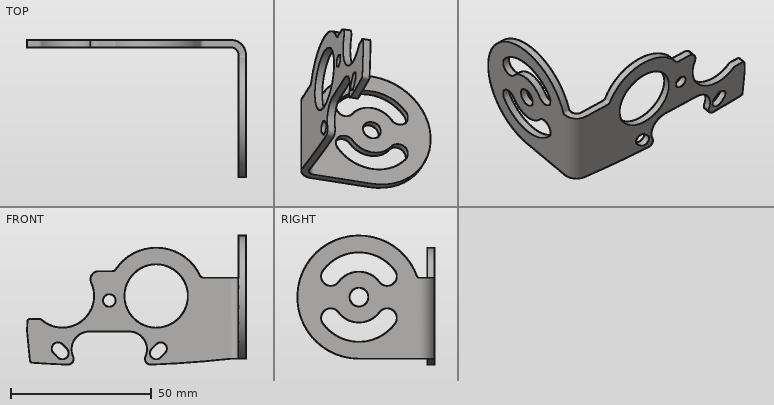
import cadquery as cq
import math


thickness = 2.75
bend_inner_radius = 2.65
bend_outer_radius = bend_inner_radius + thickness
flange_face_x = 32.05
bend_start_x = flange_face_x - bend_outer_radius
bend_top_z = 6.5

total_depth = 49.0
flange_radius = 22.0
flange_center_y = flange_radius - total_depth
flange_center_z = -0.4
bend_bottom_z = flange_center_z - flange_radius
flange_hole_diameter = 6.6
curved_slot_radius = 12.5
curved_slot_width = 6.8
curved_slot_half_angle = 53.5
flange_neck_fillet = 0.85

bore_radius = 11.25
bore_rim_radius = 17.25
mid_x = -16.7
notch_x = 2 * mid_x

tab_top_z = 8.9
ear_top_z = -8.15
ear_top_x = -45.85
ear_knee_x = -46.08
ear_knee_z = -12.2
ear_bottom_x = -44.95
bottom_low_z = -24.78
bottom_arc_radius = ((bend_start_x - mid_x) ** 2 / (bend_bottom_z - bottom_low_z)
                     + (bend_bottom_z - bottom_low_z)) / 2

recess_top_z = -12.7
recess_corner_radius = 6.3
recess_half_width = 13.4
recess_center_z = recess_top_z - recess_corner_radius
recess_center_offset = recess_half_width - recess_corner_radius

small_hole_diameter = 4.4
small_hole_z = -1.6
slot_width = 4.4
slot_length = 6.6
slot_tilt = 45.0
slot_offset = 17.5
slot_z = -19.55

tab_fillet = 3.0
rim_neck_fillet = 1.5
ear_notch_fillet = 1.3
ear_top_fillet = 1.0
ear_knee_fillet = 5.0
ear_bottom_fillet = 1.0
foot_fillet = 2.1


def half_chord(radius, distance):
    """Half length of a circle's chord at the given distance from its centre."""
    return math.sqrt(radius ** 2 - distance ** 2)


def bottom_arc_z(x):
    """Height of the shallow arc along the bottom edge of the plate."""
    return bottom_low_z + bottom_arc_radius - half_chord(bottom_arc_radius, x - mid_x)


def plate_layer():
    """Sketch plane on the back face, extruding forward (-Y) through the sheet."""
    return cq.Workplane("XZ")


def plate_disc(x, z, radius):
    return plate_layer().center(x, z).circle(radius).extrude(thickness)


def make_recess():
    depth = recess_top_z - bottom_low_z
    center_span = 2 * recess_center_offset
    recess = (
        plate_layer()
        .center(mid_x, recess_top_z - depth / 2)
        .rect(center_span, depth)
        .extrude(thickness)
    )
    for side in (-1, 1):
        corner_x = mid_x + side * recess_center_offset
        recess = recess.union(plate_disc(corner_x, recess_center_z, recess_corner_radius))
    return recess


def fillet_corner(plate, x, z, radius):
    """Round the through-thickness edge nearest to the given outline corner."""
    corner = (x, -thickness / 2, z)
    return plate.edges("|Y").edges(cq.selectors.NearestToPointSelector(corner)).fillet(radius)


def round_outline(plate):
    tab_x = notch_x + half_chord(bore_radius, tab_top_z)
    tab_neck_x = -half_chord(bore_rim_radius, tab_top_z)
    neck_x = half_chord(bore_rim_radius, bend_top_z)
    ear_notch_x = notch_x - half_chord(bore_radius, ear_top_z)
    plate = fillet_corner(plate, tab_x, tab_top_z, tab_fillet)
    plate = fillet_corner(plate, tab_neck_x, tab_top_z, rim_neck_fillet)
    plate = fillet_corner(plate, neck_x, bend_top_z, rim_neck_fillet)
    plate = fillet_corner(plate, ear_notch_x, ear_top_z, ear_notch_fillet)
    plate = fillet_corner(plate, ear_top_x, ear_top_z, ear_top_fillet)
    plate = fillet_corner(plate, ear_knee_x, ear_knee_z, ear_knee_fillet)
    plate = fillet_corner(plate, ear_bottom_x, bottom_arc_z(ear_bottom_x), ear_bottom_fillet)
    foot_drop = recess_center_z - bottom_low_z
    foot_offset = recess_center_offset + half_chord(recess_corner_radius, foot_drop)
    for side in (-1, 1):
        plate = fillet_corner(plate, mid_x + side * foot_offset, bottom_low_z, foot_fillet)
    return plate


def make_plate():
    plate = (
        plate_layer()
        .moveTo(bend_start_x, bend_bottom_z)
        .lineTo(bend_start_x, bend_top_z)
        .lineTo(0, bend_top_z)
        .lineTo(0, tab_top_z)
        .lineTo(notch_x, tab_top_z)
        .lineTo(notch_x, ear_top_z)
        .lineTo(ear_top_x, ear_top_z)
        .lineTo(ear_knee_x, ear_knee_z)
        .lineTo(ear_bottom_x, bottom_arc_z(ear_bottom_x))
        .threePointArc((mid_x, bottom_low_z), (bend_start_x, bend_bottom_z))
        .close()
        .extrude(thickness)
    )
    plate = plate.union(plate_disc(0, 0, bore_rim_radius))
    plate = plate.cut(plate_disc(notch_x, 0, bore_radius))
    plate = plate.cut(make_recess())
    plate = round_outline(plate)
    plate = plate.cut(plate_disc(0, 0, bore_radius))
    plate = plate.cut(plate_disc(mid_x, small_hole_z, small_hole_diameter / 2))
    for side in (-1, 1):
        slot = (
            plate_layer()
            .center(mid_x + side * slot_offset, slot_z)
            .slot2D(slot_length, slot_width, side * slot_tilt)
            .extrude(thickness)
        )
        plate = plate.cut(slot)
    return plate


def make_bend():
    diagonal = math.sqrt(0.5)
    outer_mid = (bend_start_x + bend_outer_radius * diagonal,
                 bend_outer_radius * (diagonal - 1))
    inner_mid = (bend_start_x + bend_inner_radius * diagonal,
                 bend_inner_radius * diagonal - bend_outer_radius)
    return (
        cq.Workplane("XY", origin=(0, 0, bend_bottom_z))
        .moveTo(bend_start_x, 0)
        .threePointArc(outer_mid, (flange_face_x, -bend_outer_radius))
        .lineTo(flange_face_x - thickness, -bend_outer_radius)
        .threePointArc(inner_mid, (bend_start_x, -thickness))
        .close()
        .extrude(bend_top_z - bend_bottom_z)
    )


def flange_layer():
    """Sketch plane on the flange's inner face, centred on the flange axis."""
    return cq.Workplane("YZ", origin=(flange_face_x - thickness, flange_center_y, flange_center_z))


def make_curved_slot(side):
    """Curved slot above (side=1) or below (side=-1) the flange axis."""
    angle = math.radians(curved_slot_half_angle)

    def on_circle(radius, direction):
        return (direction * radius * math.sin(angle), side * radius * math.cos(angle))

    cap_radius = curved_slot_width / 2
    outer_radius = curved_slot_radius + cap_radius
    inner_radius = curved_slot_radius - cap_radius
    slot = (
        flange_layer()
        .moveTo(*on_circle(outer_radius, -1))
        .threePointArc((0, side * outer_radius), on_circle(outer_radius, 1))
        .lineTo(*on_circle(inner_radius, 1))
        .threePointArc((0, side * inner_radius), on_circle(inner_radius, -1))
        .close()
        .extrude(thickness)
    )
    for direction in (-1, 1):
        cap_center = on_circle(curved_slot_radius, direction)
        slot = slot.union(flange_layer().center(*cap_center).circle(cap_radius).extrude(thickness))
    return slot


def make_flange():
    neck_y = -bend_outer_radius - flange_center_y
    neck_top = bend_top_z - flange_center_z
    flange = flange_layer().circle(flange_radius).extrude(thickness)
    beyond_bend = (
        flange_layer()
        .moveTo(neck_y, -flange_radius)
        .lineTo(flange_radius, -flange_radius)
        .lineTo(flange_radius, flange_radius)
        .lineTo(neck_y, flange_radius)
        .close()
        .extrude(thickness)
    )
    neck = (
        flange_layer()
        .moveTo(0, -flange_radius)
        .lineTo(neck_y, -flange_radius)
        .lineTo(neck_y, neck_top)
        .lineTo(0, neck_top)
        .close()
        .extrude(thickness)
    )
    flange = flange.cut(beyond_bend).union(neck)
    neck_corner = (
        flange_face_x - thickness / 2,
        flange_center_y + half_chord(flange_radius, neck_top),
        bend_top_z,
    )
    flange = (
        flange.edges("|X")
        .edges(cq.selectors.NearestToPointSelector(neck_corner))
        .fillet(flange_neck_fillet)
    )
    flange = flange.cut(flange_layer().circle(flange_hole_diameter / 2).extrude(thickness))
    for side in (-1, 1):
        flange = flange.cut(make_curved_slot(side))
    return flange


result = make_plate().union(make_bend()).union(make_flange())